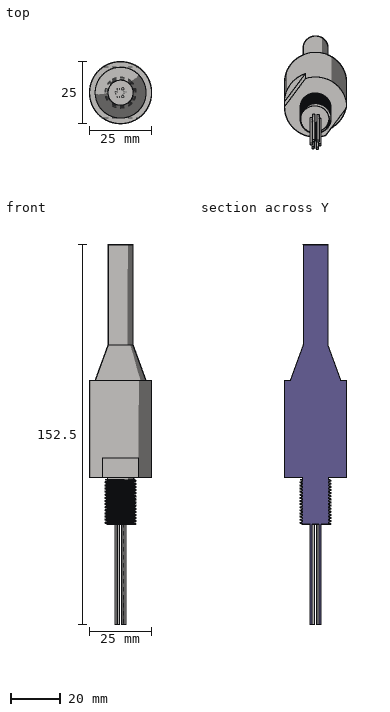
import cadquery as cq

total_length = 152.5
wire_length = 40.3
stud_length = 18.8
collar_height = 10.0
body_height = 29.0
rod_length = 40.3

stud_bottom = wire_length
collar_bottom = stud_bottom + stud_length
body_bottom = collar_bottom + collar_height
body_top = body_bottom + body_height
rod_bottom = total_length - rod_length
cone_height = rod_bottom - body_top

body_diameter = 25.0
cone_base_diameter = 20.5
rod_diameter = 10.0

flat_spacing = 20.5
flat_height = 8.0

thread_diameter = 12.5
core_diameter = 10.7
thread_pitch = 1.25
tooth_base = 1.13
tooth_crest = 0.3
root_overlap = 0.2
neck_length = 0.8
end_chamfer = 0.3

wire_count = 6
wire_diameter = 1.0
wire_ring_radius = 1.75


def cylinder(diameter, bottom, height):
    return cq.Workplane("XY").workplane(offset=bottom).circle(diameter / 2).extrude(height)


def make_housing():
    """Collar, body, cone and rod, joined in one turned shape."""
    collar_and_body = cylinder(body_diameter, collar_bottom, collar_height + body_height)
    cone = (
        cq.Workplane("XY")
        .workplane(offset=body_top)
        .circle(cone_base_diameter / 2)
        .workplane(offset=cone_height)
        .circle(rod_diameter / 2)
        .loft()
    )
    rod = cylinder(rod_diameter, rod_bottom, rod_length)
    return collar_and_body.union(cone).union(rod)


def cut_wrench_flats(housing):
    flat_depth = (body_diameter - flat_spacing) / 2
    flat_center = (flat_spacing + flat_depth) / 2
    for side in (-1, 1):
        notch = (
            cq.Workplane("XY")
            .workplane(offset=collar_bottom)
            .center(0, side * flat_center)
            .rect(body_diameter, flat_depth)
            .extrude(flat_height)
        )
        housing = housing.cut(notch)
    return housing


def make_stud():
    """Right-hand threaded stud with a plain neck under the collar."""
    core_radius = core_diameter / 2
    root_radius = core_radius - root_overlap
    crest_radius = thread_diameter / 2
    thread_length = stud_length - neck_length

    helix_bottom = stud_bottom - thread_pitch
    helix_height = thread_length + 2 * thread_pitch
    path = cq.Wire.makeHelix(thread_pitch, helix_height, core_radius)
    ridge = (
        cq.Workplane("XZ")
        .polyline([
            (root_radius, -tooth_base / 2),
            (crest_radius, -tooth_crest / 2),
            (crest_radius, tooth_crest / 2),
            (root_radius, tooth_base / 2),
        ])
        .close()
        .sweep(cq.Workplane(obj=path), isFrenet=True)
        .translate((0, 0, helix_bottom))
    )
    envelope = cylinder(thread_diameter + 2 * root_overlap, stud_bottom, thread_length)
    envelope = envelope.faces("<Z or >Z").chamfer(end_chamfer + root_overlap)
    core = cylinder(core_diameter, stud_bottom, stud_length)
    return core.union(ridge.intersect(envelope))


def make_wires():
    return (
        cq.Workplane("XY")
        .polarArray(wire_ring_radius, 0, 360, wire_count)
        .circle(wire_diameter / 2)
        .extrude(wire_length)
    )


housing = cut_wrench_flats(make_housing())
result = housing.union(make_stud()).union(make_wires())